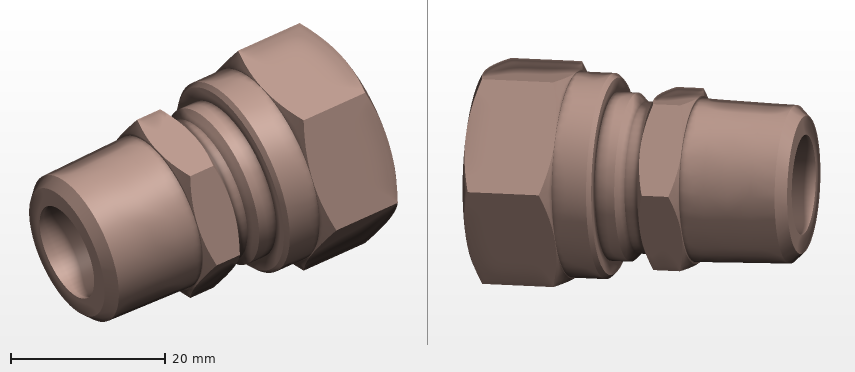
import cadquery as cq
import math

total_length = 42.25
bore_radius = 6.5

taper_tip_radius = 10.3
taper_base_radius = 10.65
tip_face_radius = 9.0
tip_chamfer_length = 1.35

small_hex_flats = 21.9
small_hex_start = 14.0
small_hex_end = 19.52
nut_flats = 27.0
nut_start = 30.35
hex_chamfer_angle = 30.0

neck_radius = 9.9
shoulder_radius = 11.0
shoulder_start = 21.5
shoulder_chamfer = shoulder_radius - neck_radius
collar_radius = 13.4
collar_start = 25.25
collar_chamfer = 0.55


def revolve_profile(points):
    """Turn a closed (radius, y) outline around the Y axis."""
    outline = cq.Workplane("XY").polyline(points).close()
    return outline.revolve(360, (0, 0, 0), (0, 1, 0))


def chamfered_hex(flats, start, end):
    """Hexagonal prism whose corners are trimmed by a cone at both ends."""
    corner_radius = flats / math.sqrt(3)
    face_radius = flats / 2
    trim = (corner_radius - face_radius) * math.tan(math.radians(hex_chamfer_angle))
    prism = (
        cq.Workplane("XZ", origin=(0, start, 0))
        .polygon(6, 2 * corner_radius)
        .extrude(start - end)
    )
    envelope = revolve_profile([
        (0, start),
        (face_radius, start),
        (corner_radius, start + trim),
        (corner_radius, end - trim),
        (face_radius, end),
        (0, end),
    ])
    return prism.intersect(envelope)


turned_body = revolve_profile([
    (0, 0),
    (tip_face_radius, 0),
    (taper_tip_radius, tip_chamfer_length),
    (taper_base_radius, small_hex_start),
    (neck_radius, small_hex_start),
    (neck_radius, shoulder_start),
    (shoulder_radius, shoulder_start + shoulder_chamfer),
    (shoulder_radius, collar_start),
    (collar_radius - collar_chamfer, collar_start),
    (collar_radius, collar_start + collar_chamfer),
    (collar_radius, nut_start),
    (0, nut_start),
])

small_hex = chamfered_hex(small_hex_flats, small_hex_start, small_hex_end)
nut = chamfered_hex(nut_flats, nut_start, total_length)

bore = cq.Workplane("XZ").circle(bore_radius).extrude(-total_length)

result = turned_body.union(small_hex).union(nut).cut(bore)